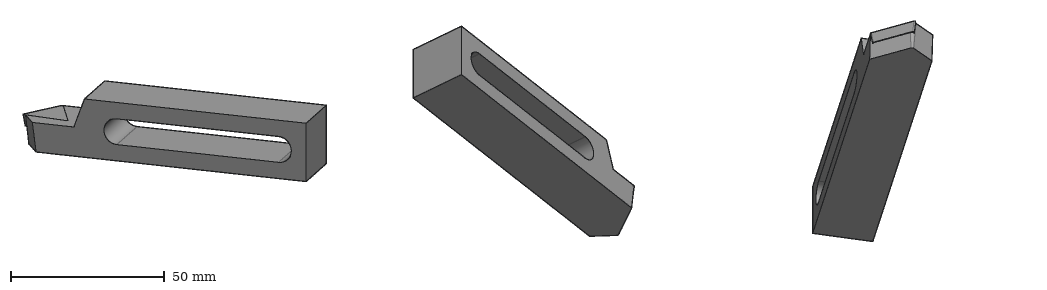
import cadquery as cq
import math

length = 100.0
width = 20.0
height = 20.0

seat_height = 10.0
step_x = 20.0
step_lean = 20.0

slot_start = 30.4
slot_end = 94.9
slot_height = 8.8

nose_angle = 55.0
nose_x = 0.4
nose_y = 7.6
nose_relief = 6.0
nose_radius = 1.8

insert_side = 16.5
insert_thickness = 4.0
insert_turn = -5.0
insert_relief = 5.0
insert_radius = 0.4

triangle_angle = 60.0


def polar(start, distance, angle):
    """Point at a distance and an angle in degrees from a start point."""
    turn = math.radians(angle)
    return (start[0] + distance * math.cos(turn), start[1] + distance * math.sin(turn))


def make_insert():
    """Equilateral plate narrowing downwards, with rounded corners."""
    center_distance = insert_radius / math.sin(math.radians(triangle_angle / 2))
    center_spacing = insert_side - 2 * center_distance * math.cos(math.radians(triangle_angle / 2))
    left_edge = insert_turn + triangle_angle
    center_x = insert_radius
    center_y = width - insert_radius - center_spacing * math.sin(math.radians(left_edge))
    tip = polar((center_x, center_y), -center_distance, insert_turn + triangle_angle / 2)
    back = polar(tip, insert_side, insert_turn)
    side = polar(tip, insert_side, left_edge)
    return (
        cq.Workplane("XY", origin=(0, 0, seat_height))
        .polyline([tip, back, side])
        .close()
        .extrude(-insert_thickness, taper=insert_relief)
        .edges("not #Z")
        .fillet(insert_radius)
    )


def make_shank():
    """Square bar with the step cut away above the seat."""
    step_run = (height - seat_height) * math.tan(math.radians(step_lean))
    return (
        cq.Workplane("XZ")
        .polyline([
            (0, 0),
            (length, 0),
            (length, height),
            (step_x + step_run, height),
            (step_x, seat_height),
            (0, seat_height),
        ])
        .close()
        .extrude(-width)
    )


def make_nose_envelope():
    """Wedge leaning back below the seat, long enough to reach past the step on both sides."""
    reach = 2 * width
    tip = (nose_x, nose_y)
    nose_angle_rad = math.radians(nose_angle)
    tangent_length = nose_radius / math.tan(nose_angle_rad)
    front_tangent = polar(tip, tangent_length, -nose_angle)
    rear_tangent = polar(tip, tangent_length, nose_angle)
    nose_middle = polar(tip, nose_radius / math.sin(nose_angle_rad) - nose_radius, 0)
    front = polar(tip, reach, -nose_angle)
    rear = polar(tip, reach, nose_angle)
    far_x = length + reach
    wedge = (
        cq.Workplane("XY", origin=(0, 0, seat_height))
        .moveTo(*rear_tangent)
        .threePointArc(nose_middle, front_tangent)
        .lineTo(*front)
        .lineTo(far_x, front[1])
        .lineTo(far_x, rear[1])
        .lineTo(*rear)
        .close()
        .extrude(-seat_height, taper=nose_relief)
    )
    upper = cq.Workplane("XY").box(length, width, height, centered=False)
    upper = upper.translate((step_x, 0, 0))
    return wedge.union(upper)


def make_slot():
    """Round-ended opening through the full width."""
    slot_length = slot_end - slot_start
    return (
        cq.Workplane("XZ")
        .center((slot_start + slot_end) / 2, height / 2)
        .slot2D(slot_length, slot_height)
        .extrude(-width)
    )


insert = make_insert()
holder = make_shank().intersect(make_nose_envelope()).cut(make_slot()).cut(insert)

result = cq.Compound.makeCompound([holder.solids().val(), insert.solids().val()])